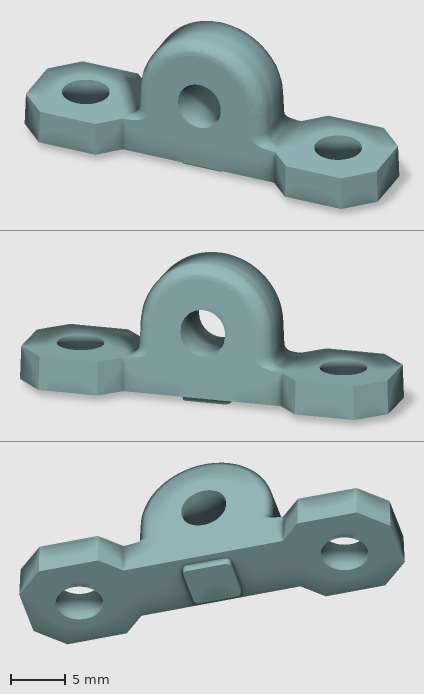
import cadquery as cq
import math

LENGTH = 35.55
PAD_WIDTH = 10.17
BASE_HEIGHT = 3.25
TOTAL_HEIGHT = 13.4
KEY_DEPTH = 0.68
DRAFT = 2.0
DRAFT_SLOPE = math.tan(math.radians(DRAFT))

PAD_CORNER = 2.55
PAD_FLAT_LENGTH = 5.7
PAD_HOLE_DIAMETER = 4.4
PAD_HOLE_SPACING = 25.4

WEB_WIDTH = 6.33
ARCH_RADIUS = 6.33
ARCH_TOP = TOTAL_HEIGHT - KEY_DEPTH
ARCH_CENTER_Z = ARCH_TOP - ARCH_RADIUS
ARCH_ROUND = 1.28
CROSS_HOLE_DIAMETER = 4.25
CROSS_HOLE_MOUTH_DROP = 0.2

FOOT_HEIGHT = 1.1
FOOT_REACH = 1.2
FOOT_STEPS = 6
FOOT_TOP = BASE_HEIGHT + FOOT_HEIGHT
SMALLEST_FOOT_ROUND = 0.018
ARCH_TANGENT_X = ARCH_RADIUS * math.cos(math.radians(DRAFT))
ARCH_TANGENT_Z = ARCH_CENTER_Z + ARCH_RADIUS * math.sin(math.radians(DRAFT))
ARCH_FOOT_X = ARCH_TANGENT_X + (ARCH_TANGENT_Z - FOOT_TOP) * DRAFT_SLOPE

KEY_WIDTH = 4.62
KEY_CORNER = 0.55
KEY_DRAFT = 5.0


def half_web(z):
    """Half width of the drafted web at height z."""
    return WEB_WIDTH / 2 - z * DRAFT_SLOPE


def make_base():
    """Two clipped-corner pads joined by the web, drafted upward."""
    end_x = LENGTH / 2
    outer_x = end_x - PAD_CORNER
    inner_x = outer_x - PAD_FLAT_LENGTH
    side_y = PAD_WIDTH / 2
    web_y = WEB_WIDTH / 2
    neck_x = inner_x - (side_y - web_y)
    quarter = [
        (end_x, side_y - PAD_CORNER),
        (outer_x, side_y),
        (inner_x, side_y),
        (neck_x, web_y),
    ]
    half = quarter + [(-x, y) for x, y in reversed(quarter)]
    outline = half + [(x, -y) for x, y in reversed(half)]
    base = cq.Workplane("XY").polyline(outline).close().extrude(BASE_HEIGHT, taper=DRAFT)
    holes = (
        cq.Workplane("XY")
        .pushPoints([(-PAD_HOLE_SPACING / 2, 0), (PAD_HOLE_SPACING / 2, 0)])
        .circle(PAD_HOLE_DIAMETER / 2)
        .extrude(BASE_HEIGHT)
    )
    return base.cut(holes)


def make_arch():
    """Round-topped lug with drafted faces and rounded rims, above the foot."""
    profile = (
        cq.Workplane("XZ")
        .moveTo(-ARCH_FOOT_X, FOOT_TOP)
        .lineTo(-ARCH_TANGENT_X, ARCH_TANGENT_Z)
        .threePointArc((0, ARCH_TOP), (ARCH_TANGENT_X, ARCH_TANGENT_Z))
        .lineTo(ARCH_FOOT_X, FOOT_TOP)
        .close()
        .extrude(WEB_WIDTH / 2, both=True)
    )
    low_y = half_web(FOOT_TOP)
    high_y = half_web(ARCH_TOP)
    wedge = (
        cq.Workplane("YZ")
        .polyline([(-low_y, FOOT_TOP), (low_y, FOOT_TOP), (high_y, ARCH_TOP), (-high_y, ARCH_TOP)])
        .close()
        .extrude(LENGTH / 2, both=True)
    )
    arch = profile.intersect(wedge)
    return arch.faces("<Y or >Y").edges("not <Z").fillet(ARCH_ROUND)


def foot_section(angle):
    """Plan wire of the foot; angle runs from 0 at the arch to 90 degrees at the toe."""
    z = FOOT_TOP - FOOT_HEIGHT * math.sin(angle)
    x = ARCH_FOOT_X + FOOT_REACH * (1 - math.cos(angle))
    y = half_web(z)
    run = max(ARCH_ROUND * math.cos(angle), SMALLEST_FOOT_ROUND)
    x_in = x - run
    y_in = y - ARCH_ROUND
    bulge = math.sqrt(0.5)
    x_mid = x_in + run * bulge
    y_mid = y_in + ARCH_ROUND * bulge
    return (
        cq.Workplane("XY", origin=(0, 0, z))
        .moveTo(-x_in, y)
        .lineTo(x_in, y)
        .threePointArc((x_mid, y_mid), (x, y_in))
        .lineTo(x, -y_in)
        .threePointArc((x_mid, -y_mid), (x_in, -y))
        .lineTo(-x_in, -y)
        .threePointArc((-x_mid, -y_mid), (-x, -y_in))
        .lineTo(-x, y_in)
        .threePointArc((-x_mid, y_mid), (-x_in, y))
        .close()
        .val()
    )


def make_foot():
    """Flared foot whose corner rounds fade out toward the pads."""
    angles = [math.pi / 2 * step / FOOT_STEPS for step in range(FOOT_STEPS + 1)]
    return cq.Workplane(cq.Solid.makeLoft([foot_section(angle) for angle in angles]))


def make_key():
    """Shallow rounded square below the base, drafted downward."""
    return (
        cq.Workplane("XY")
        .sketch()
        .rect(KEY_WIDTH, KEY_WIDTH)
        .vertices()
        .fillet(KEY_CORNER)
        .finalize()
        .extrude(-KEY_DEPTH, taper=KEY_DRAFT)
    )


def make_cross_hole():
    """Hole along Y, joined by a bore from each face that slopes up to meet it at mid width."""
    radius = CROSS_HOLE_DIAMETER / 2
    center = cq.Vector(0, 0, ARCH_CENTER_Z)
    start = center - cq.Vector(0, WEB_WIDTH, 0)
    hole = cq.Workplane(cq.Solid.makeCylinder(radius, 2 * WEB_WIDTH, start, cq.Vector(0, 1, 0)))
    for side in (-1, 1):
        slope = cq.Vector(0, side * half_web(ARCH_CENTER_Z), -CROSS_HOLE_MOUTH_DROP)
        hole = hole.union(cq.Workplane(cq.Solid.makeCylinder(radius, WEB_WIDTH, center, slope)))
    return hole


result = make_base().union(make_foot()).union(make_arch()).union(make_key())
result = result.cut(make_cross_hole())